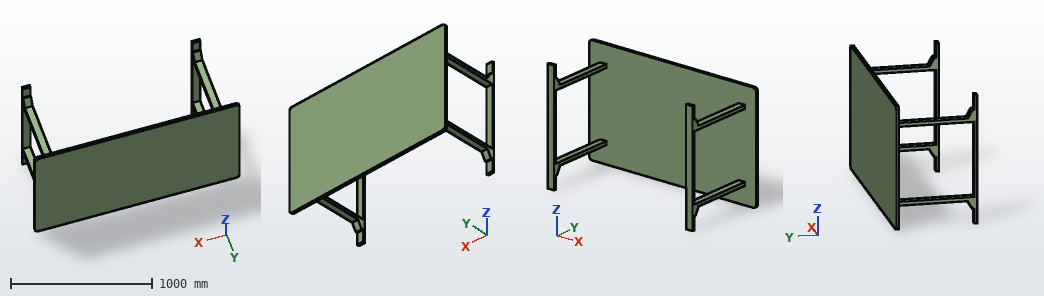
import cadquery as cq

top_length = 1524.0
top_width = 915.0
top_thickness = 20.0
corner_radius = 29.0

overall_depth = 610.0
foot_length = 950.0
foot_thickness = 20.0
frame_width = 58.0
frame_end_inset = 100.0
leg_thickness = 29.0
leg_end_inset = 168.0

brace_length = 50.0
brace_height = 62.0
brace_flat = 8.0
brace_bend_offset = 21.0
brace_bend_height = 50.0

foot_outer_y = -overall_depth / 2
foot_inner_y = foot_outer_y + foot_thickness
top_back_y = overall_depth / 2
top_front_y = top_back_y - top_thickness
leg_length = top_front_y - foot_inner_y
leg_outer_z = foot_length / 2 - leg_end_inset
frame_center_x = top_length / 2 - frame_end_inset - frame_width / 2


def make_top():
    return (
        cq.Workplane("XY")
        .box(top_length, top_thickness, top_width)
        .edges("|Y")
        .fillet(corner_radius)
        .translate((0, top_back_y - top_thickness / 2, 0))
    )


def make_brace():
    """Upper brace, sloping straight, then rounding over to a short flat at the foot."""
    bend = (foot_inner_y + brace_bend_offset, leg_outer_z + brace_bend_height)
    flat_end = (foot_inner_y + brace_flat, leg_outer_z + brace_height)
    return (
        cq.Workplane("YZ")
        .moveTo(foot_inner_y, leg_outer_z)
        .lineTo(foot_inner_y + brace_length, leg_outer_z)
        .lineTo(*bend)
        .tangentArcPoint(flat_end, relative=False)
        .lineTo(foot_inner_y, leg_outer_z + brace_height)
        .close()
        .extrude(frame_width / 2, both=True)
    )


def make_frame():
    frame = (
        cq.Workplane("XY")
        .box(frame_width, foot_thickness, foot_length)
        .translate((0, foot_outer_y + foot_thickness / 2, 0))
    )
    upper_leg = (
        cq.Workplane("XY")
        .box(frame_width, leg_length, leg_thickness)
        .translate((0, foot_inner_y + leg_length / 2, leg_outer_z - leg_thickness / 2))
    )
    upper_support = upper_leg.union(make_brace())
    return frame.union(upper_support).union(upper_support.mirror("XY"))


result = make_top()
for side in (-1, 1):
    result = result.union(make_frame().translate((side * frame_center_x, 0, 0)))